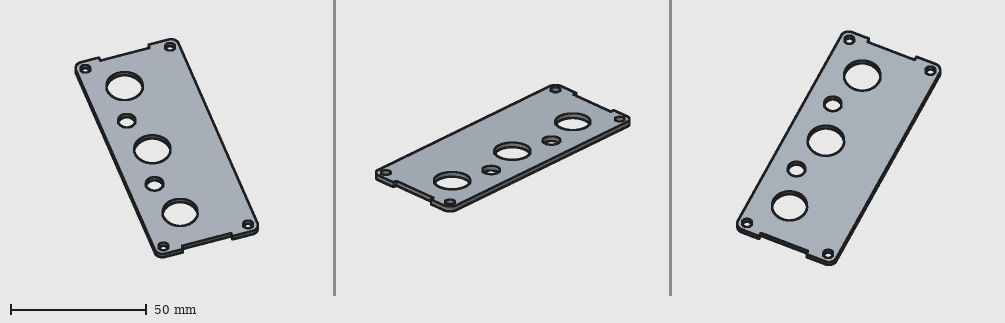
import cadquery as cq

length = 97.0
width = 40.0
thickness = 2.0
corner_radius = 3.0

notch_depth = 1.6
notch_width = 19.2
notch_center_y = -0.4

mount_diameter = 3.7
mount_inset = 3.5

opening_pitch = 32.0
row_center_x = -0.5
opening_y = -5.4
wide_opening_diameter = 13.5
narrow_opening_diameter = 13.0
small_hole_diameter = 6.5
small_hole_y = -10.0


def make_plate():
    plate = cq.Workplane("XY").box(length, width, thickness)
    return plate.edges("|Z").fillet(corner_radius)


def cut_notches(plate):
    cutters = (
        cq.Workplane("XY")
        .pushPoints([(side * length / 2, notch_center_y) for side in (-1, 1)])
        .box(2 * notch_depth, notch_width, 2 * thickness)
    )
    return plate.cut(cutters)


def drill(plate, points, diameter):
    return plate.faces(">Z").workplane(origin=(0, 0, 0)).pushPoints(points).hole(diameter)


mount_points = [
    (x_side * (length / 2 - mount_inset), y_side * (width / 2 - mount_inset))
    for x_side in (-1, 1)
    for y_side in (-1, 1)
]
wide_points = [(row_center_x - opening_pitch, opening_y), (row_center_x, opening_y)]
narrow_points = [(row_center_x + opening_pitch, opening_y)]
small_points = [(row_center_x + side * opening_pitch / 2, small_hole_y) for side in (-1, 1)]

result = cut_notches(make_plate())
result = drill(result, mount_points, mount_diameter)
result = drill(result, wide_points, wide_opening_diameter)
result = drill(result, narrow_points, narrow_opening_diameter)
result = drill(result, small_points, small_hole_diameter)